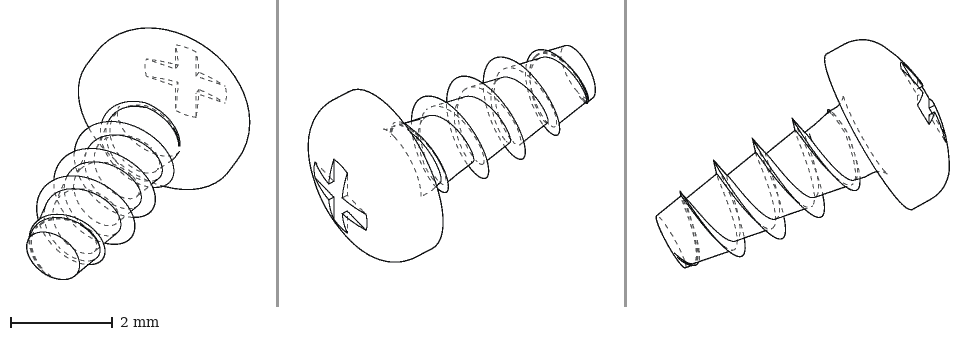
import cadquery as cq
import math

LENGTH = 5.86
HEAD_Y = LENGTH / 2
TIP_Y = -LENGTH / 2

HEAD_DIAMETER = 3.5
HEAD_RADIUS = HEAD_DIAMETER / 2
UNDERSIDE_Y = 1.56
RIM_FILLET = 0.03
SHOULDER_RADIUS = 0.7
CROWN_RADIUS = 2.93

SLOT_WIDTH = 0.46
SLOT_DEPTH = 0.125

NECK_RADIUS = 0.74
NECK_FILLET = 0.345
NECK_END_Y = 1.065
NECK_CONE_END_RADIUS = 0.615
NECK_CONE_END_Y = 0.56

PITCH = 0.885
CORE_RADIUS = 0.59
TAPER = math.tan(math.radians(10))
TIP_RADIUS = 0.585
TIP_DISH_RADIUS = 0.54
TIP_DISH_DEPTH = 0.045
WEDGE_RADIUS = 0.745
WEDGE_START = 0.03
WEDGE_LENGTH = 0.855
WEDGE_OVERRUN_TURNS = 0.6
BURIED_RADIUS = 0.53

THREAD_RADIUS = 1.01
LEAD_IN_RADIUS = 0.76
NECK_CREST_RADIUS = 0.83
FADE_OUT_RADIUS = 0.61
HEAD_FLANK_SLOPE = math.tan(math.radians(12))
TIP_FLANK_SLOPE = math.tan(math.radians(16))
CREST_Y = 0.18
RISE_TURNS = 1.0
LEAD_IN_TURNS = 0.25
FULL_TURNS = 2.0
FADE_TURNS = 1.4
POINTS_PER_TURN = 24


def helix_y(turn):
    return CREST_Y - PITCH * turn


def place(turn, radius, y):
    angle = 2 * math.pi * turn
    return cq.Vector(-radius * math.sin(angle), y, radius * math.cos(angle))


def helical_solid(start, end, section):
    """Solid swept by the polygon section(turn), a list of (radius, y) corners."""
    steps = math.ceil((end - start) * POINTS_PER_TURN)
    turns = [start + (end - start) * i / steps for i in range(steps + 1)]
    sections = [[place(turn, *corner) for corner in section(turn)] for turn in turns]
    edges = [cq.Edge.makeSpline(list(path)) for path in zip(*sections)]
    faces = [cq.Face.makeRuledSurface(edges[i - 1], edges[i]) for i in range(len(edges))]
    for corners in (sections[0], sections[-1]):
        faces.append(cq.Face.makeFromWires(cq.Wire.makePolygon(corners, close=True)))
    solid = cq.Solid.makeSolid(cq.Shell.makeShell(faces))
    return cq.Workplane(solid.fix())


def revolve_about_y(profile):
    return profile.close().revolve(360, (0, 0, 0), (0, 1, 0))


def make_head():
    slot_corner = SLOT_WIDTH / 2 * math.sqrt(2)
    crown_center_y = HEAD_Y - math.sqrt(CROWN_RADIUS**2 - slot_corner**2)
    shoulder_center = HEAD_RADIUS - SHOULDER_RADIUS
    center_gap = CROWN_RADIUS - SHOULDER_RADIUS
    lean = math.asin(shoulder_center / center_gap)
    shoulder_y = crown_center_y + center_gap * math.cos(lean)
    middle = (lean + math.pi / 2) / 2

    def on_crown(angle):
        return CROWN_RADIUS * math.sin(angle), crown_center_y + CROWN_RADIUS * math.cos(angle)

    profile = (
        cq.Workplane("XY")
        .moveTo(0, UNDERSIDE_Y)
        .lineTo(HEAD_RADIUS - RIM_FILLET, UNDERSIDE_Y)
        .radiusArc((HEAD_RADIUS, UNDERSIDE_Y + RIM_FILLET), -RIM_FILLET)
        .lineTo(HEAD_RADIUS, shoulder_y)
        .threePointArc(
            (
                shoulder_center + SHOULDER_RADIUS * math.sin(middle),
                shoulder_y + SHOULDER_RADIUS * math.cos(middle),
            ),
            on_crown(lean),
        )
        .threePointArc(on_crown(lean / 2), on_crown(0))
    )
    head = revolve_about_y(profile)
    slot = cq.Workplane("XY").box(HEAD_DIAMETER, 2 * SLOT_DEPTH, SLOT_WIDTH)
    slot = slot.translate((0, HEAD_Y, 0))
    return head.cut(slot).cut(slot.rotate((0, 0, 0), (0, 1, 0), 90))


def make_neck():
    profile = (
        cq.Workplane("XY")
        .moveTo(0, UNDERSIDE_Y)
        .lineTo(NECK_RADIUS + NECK_FILLET, UNDERSIDE_Y)
        .radiusArc((NECK_RADIUS, UNDERSIDE_Y - NECK_FILLET), -NECK_FILLET)
        .lineTo(NECK_RADIUS, NECK_END_Y)
        .lineTo(NECK_CONE_END_RADIUS, NECK_CONE_END_Y)
        .lineTo(0, NECK_CONE_END_Y)
    )
    return revolve_about_y(profile)


def make_core():
    def wedge_section(turn):
        top = helix_y(turn) - WEDGE_START
        bottom = top - WEDGE_LENGTH
        low_radius = WEDGE_RADIUS - TAPER * WEDGE_LENGTH
        return [(BURIED_RADIUS, top), (WEDGE_RADIUS, top), (low_radius, bottom), (BURIED_RADIUS, bottom)]

    first_turn = -RISE_TURNS - WEDGE_OVERRUN_TURNS
    last_turn = FULL_TURNS + FADE_TURNS + WEDGE_OVERRUN_TURNS
    wedge = helical_solid(first_turn, last_turn, wedge_section)
    core_length = NECK_END_Y - TIP_Y
    cylinder = cq.Workplane("XZ", origin=(0, NECK_END_Y, 0)).circle(CORE_RADIUS).extrude(core_length)
    envelope = revolve_about_y(
        cq.Workplane("XY")
        .moveTo(0, TIP_Y + TIP_DISH_DEPTH)
        .lineTo(TIP_DISH_RADIUS, TIP_Y)
        .lineTo(TIP_RADIUS, TIP_Y)
        .lineTo(TIP_RADIUS + TAPER * core_length, NECK_END_Y)
        .lineTo(0, NECK_END_Y)
    )
    return cylinder.union(wedge).intersect(envelope)


def make_ridge(start_station, end_station):
    """Stretch of thread whose crest runs evenly from one station to the next."""
    start, start_y, start_radius = start_station
    end, end_y, end_radius = end_station

    def ridge_section(turn):
        share = (turn - start) / (end - start)
        y = start_y + share * (end_y - start_y)
        crest_radius = start_radius + share * (end_radius - start_radius)
        depth = crest_radius - BURIED_RADIUS
        return [
            (BURIED_RADIUS, y + HEAD_FLANK_SLOPE * depth),
            (crest_radius, y),
            (BURIED_RADIUS, y - TIP_FLANK_SLOPE * depth),
        ]

    return helical_solid(start, end, ridge_section)


def make_thread():
    neck_turn = -RISE_TURNS
    end_turn = FULL_TURNS + FADE_TURNS
    stations = [
        (neck_turn - LEAD_IN_TURNS, helix_y(neck_turn), LEAD_IN_RADIUS),
        (neck_turn, helix_y(neck_turn), NECK_CREST_RADIUS),
        (0, helix_y(0), THREAD_RADIUS),
        (FULL_TURNS, helix_y(FULL_TURNS), THREAD_RADIUS),
        (end_turn, helix_y(end_turn), FADE_OUT_RADIUS),
    ]
    return [make_ridge(*ends) for ends in zip(stations, stations[1:])]


result = make_head().union(make_neck()).union(make_core())
for ridge in make_thread():
    result = result.union(ridge)